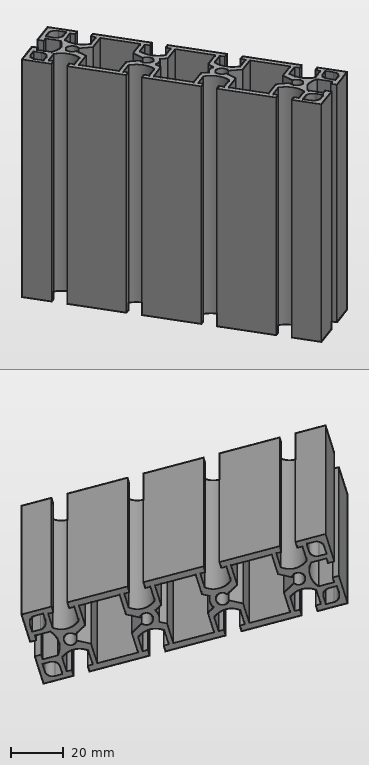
import cadquery as cq
import math

MODULE = 30.0
MODULE_COUNT = 4
LENGTH = 100.0
WIDTH = MODULE * MODULE_COUNT

SLOT_MOUTH = 6.2
SLOT_INNER = 10.3
LIP = 2.5
SLOT_DEPTH = 10.5
FLOOR_RISE = 1.9

BORE_RADIUS = 2.5
MOUTH_HALF_ANGLE = math.radians(30)
CORE_RADIUS = 4.9
CAVITY_END = BORE_RADIUS / 2

WEB = 1.8
POCKET_SIZE = 6.1
POCKET_RADIUS = 3.0

HALF_MODULE = MODULE / 2
HALF_WIDTH = WIDTH / 2
SIDE_FROM_BORE = SLOT_INNER / 2 + WEB
CAVITY_HALF_HEIGHT = HALF_MODULE - LIP
BORE_CENTERS = [(i + 0.5) * MODULE - HALF_WIDTH for i in range(MODULE_COUNT)]


def slot(x, y, angle):
    """T-slot cutter whose mouth is centred on (x, y); unrotated it cuts down along -Y."""
    mouth = SLOT_MOUTH / 2
    inner = SLOT_INNER / 2
    wall_end = SLOT_DEPTH - FLOOR_RISE
    return (
        cq.Workplane("XY")
        .moveTo(-mouth, 0)
        .lineTo(-mouth, -LIP)
        .lineTo(-inner, -LIP)
        .lineTo(-inner, -wall_end)
        .threePointArc((0, -SLOT_DEPTH), (inner, -wall_end))
        .lineTo(inner, -LIP)
        .lineTo(mouth, -LIP)
        .lineTo(mouth, 0)
        .close()
        .extrude(LENGTH)
        .rotate((0, 0, 0), (0, 0, 1), angle)
        .translate((x, y, 0))
    )


def cylinders(centers, radius):
    """Full-length cylinders around the given bore axes."""
    return cq.Workplane("XY").pushPoints([(x, 0) for x in centers]).circle(radius).extrude(LENGTH)


def cavity(left_bore, right_bore):
    """Cavity between two bores; its tapered ends run into both bores."""
    slope = math.tan(MOUTH_HALF_ANGLE)
    end_half_height = CAVITY_END * slope
    side_half_height = SIDE_FROM_BORE * slope
    left_side = left_bore + SIDE_FROM_BORE
    right_side = right_bore - SIDE_FROM_BORE
    upper = [
        (left_bore + CAVITY_END, end_half_height),
        (left_side, side_half_height),
        (left_side, CAVITY_HALF_HEIGHT),
        (right_side, CAVITY_HALF_HEIGHT),
        (right_side, side_half_height),
        (right_bore - CAVITY_END, end_half_height),
    ]
    lower = [(x, -y) for x, y in reversed(upper)]
    return cq.Workplane("XY").polyline(upper + lower).close().extrude(LENGTH)


def corner_pocket(x_sign, y_sign):
    """Square corner pocket, rounded at its outermost and innermost corners."""
    inset = HALF_MODULE - SLOT_INNER / 2 - WEB - POCKET_SIZE / 2
    x = x_sign * (HALF_WIDTH - inset)
    y = y_sign * (HALF_MODULE - inset)
    outer_corner = (x_sign * HALF_WIDTH, y_sign * HALF_MODULE, LENGTH / 2)
    outermost = cq.selectors.NearestToPointSelector(outer_corner)
    innermost = cq.selectors.NearestToPointSelector((0, 0, LENGTH / 2))
    pocket = cq.Workplane("XY").center(x, y).rect(POCKET_SIZE, POCKET_SIZE).extrude(LENGTH)
    pocket = pocket.edges("|Z").edges(outermost).fillet(POCKET_RADIUS)
    return pocket.edges("|Z").edges(innermost).fillet(POCKET_RADIUS)


profile = cq.Workplane("XY").rect(WIDTH, MODULE).extrude(LENGTH)

for x in BORE_CENTERS:
    profile = profile.cut(slot(x, HALF_MODULE, 0))
    profile = profile.cut(slot(x, -HALF_MODULE, 180))
profile = profile.cut(slot(-HALF_WIDTH, 0, 90))
profile = profile.cut(slot(HALF_WIDTH, 0, -90))

first, second, third, fourth = BORE_CENTERS
profile = profile.cut(cavity(first, second))
profile = profile.cut(cavity(second, third).cut(cylinders([second, third], CORE_RADIUS)))
profile = profile.cut(cavity(third, fourth))
profile = profile.cut(cylinders(BORE_CENTERS, BORE_RADIUS))

for x_sign in (-1, 1):
    for y_sign in (-1, 1):
        profile = profile.cut(corner_pocket(x_sign, y_sign))

result = profile